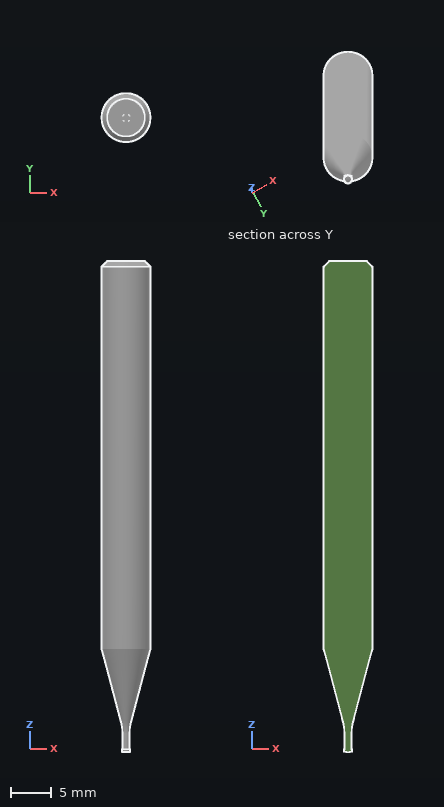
import cadquery as cq
import math

overall_length = 60.0
shank_diameter = 6.0
shank_chamfer = 0.7

cutter_diameter = 1.0
cutter_length = 0.4
tip_flat_diameter = 0.3
bevel_height = 0.05
neck_diameter = 0.9
neck_end = 2.35

cone_start = 4.1
cone_start_diameter = 1.48
cone_end = 12.6

tip_flat_radius = tip_flat_diameter / 2
cutter_radius = cutter_diameter / 2
neck_radius = neck_diameter / 2
shank_radius = shank_diameter / 2
cone_start_radius = cone_start_diameter / 2

arc_rise = cone_start - neck_end
arc_run = cone_start_radius - neck_radius
arc_radius = (arc_rise**2 + arc_run**2) / (2 * arc_run)
half_angle = math.asin(arc_rise / arc_radius) / 2
arc_middle = (
    -(neck_radius + arc_radius * (1 - math.cos(half_angle))),
    neck_end + arc_radius * math.sin(half_angle),
)


def revolved_tool():
    """Half profile on the -Y side of the YZ plane, turned about the Z axis."""
    profile = (
        cq.Workplane("YZ")
        .lineTo(-tip_flat_radius, 0)
        .lineTo(-cutter_radius, bevel_height)
        .lineTo(-cutter_radius, cutter_length)
        .lineTo(-neck_radius, cutter_length)
        .lineTo(-neck_radius, neck_end)
        .threePointArc(arc_middle, (-cone_start_radius, cone_start))
        .lineTo(-shank_radius, cone_end)
        .lineTo(-shank_radius, overall_length - shank_chamfer)
        .lineTo(-(shank_radius - shank_chamfer), overall_length)
        .lineTo(0, overall_length)
        .close()
    )
    return profile.revolve(360, (0, 0, 0), (0, 1, 0))


result = revolved_tool()